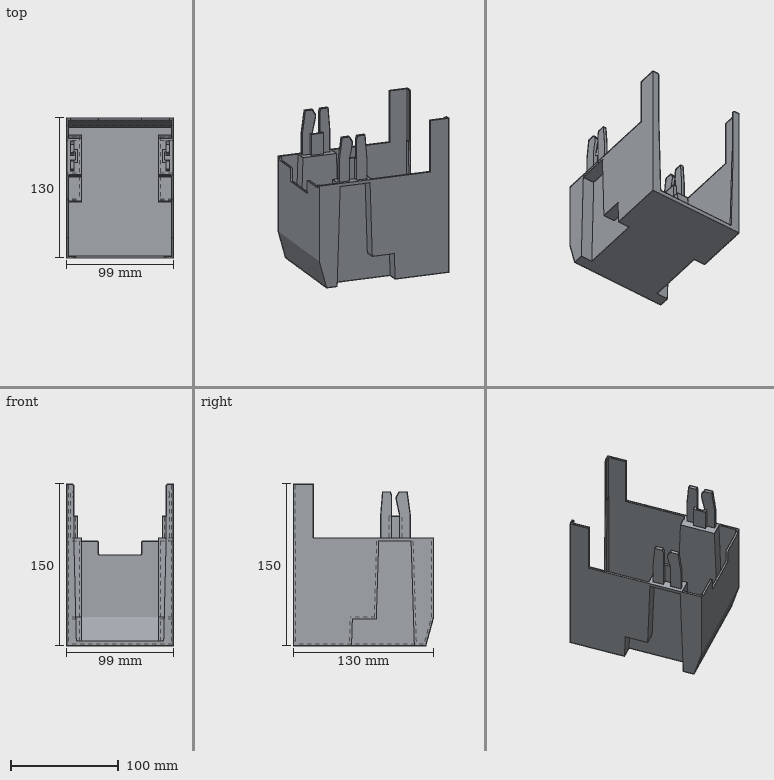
import cadquery as cq
import math

WIDTH = 99.0
DEPTH = 130.0
BODY_HEIGHT = 100.0
POST_HEIGHT = 150.0
POST_DEPTH = 18.5
WALL = 1.9
HALF_WIDTH = WIDTH / 2

BACK_SLOPE_RUN = 7.3
BACK_SLOPE_RISE = 26.5

SILL_HEIGHT = 4.7
SILL_HALF_WIDTH = 40.5
OPENING_HALF_WIDTH = 42.8
POST_TIP_RADIUS = 2.0
POST_FACE_THICKNESS = 1.4
SILL_CORNER_RADIUS = 1.0

BACK_TOP = 97.0
BACK_TOP_HALF_WIDTH = 45.8
BACK_END_RADIUS = 2.2
NOTCH_RADIUS = 1.0
NOTCH_HALF_WIDTH = 20.1
NOTCH_FLOOR = 84.3

POCKET_DEPTH = 12.0
POCKET_TOP = 97.0
POCKET_BACK_AT_TOP = 109.1
POCKET_FRONT_AT_TOP = 79.1
STEP_HEIGHT = 25.0
STEP_FRONT_AT_BASE = 53.9
DRAFT = math.tan(math.radians(1.8))
COLUMN_CORNER_RADIUS = 1.0

CLIP_OUTER_GAP = 3.6
CLIP_THICKNESS = 3.1
CLIP_TOP = 142.8
CLIP_TAPER_START = 121.5
HOOK_BACK = 108.4
HOOK_TIP_BACK = 105.5
HOOK_TIP_FRONT = 98.0
HOOK_NOSE = 95.3
HOOK_NOSE_BOTTOM = 135.5
HOOK_NOSE_TOP = 138.0
BLADE_FRONT = 80.9
BLADE_TIP_FRONT = 82.6
BLADE_TIP_BACK = 90.0
BLADE_BEVEL_START = 139.5
BRIDGE_TOP = 120.3
BRIDGE_REACH = 3.6
BRIDGE_WEB = 1.9
BRIDGE_LEG = 2.4
CLIP_GAP_FRONT = 91.0
CLIP_GAP_BACK = 98.3


def extrude_along_x(points, x_start, x_end):
    """Extrude a closed (Y, Z) outline between two X positions."""
    outline = cq.Workplane("YZ").workplane(offset=x_start).polyline(points).close()
    return outline.extrude(x_end - x_start)


def block(x_range, y_range, z_range):
    """Axis-aligned block between pairs of limits."""
    size = [end - start for start, end in (x_range, y_range, z_range)]
    return cq.Workplane("XY").box(*size, centered=False).translate((x_range[0], y_range[0], z_range[0]))


def both_sides(solid):
    """Join a left-hand feature with its mirror image."""
    return solid.union(solid.mirror("YZ"))


def make_shell():
    """Outer block, hollowed from above, with tall posts at the front."""
    outer = extrude_along_x(
        [
            (0, 0),
            (DEPTH - BACK_SLOPE_RUN, 0),
            (DEPTH, BACK_SLOPE_RISE),
            (DEPTH, BODY_HEIGHT),
            (POST_DEPTH, BODY_HEIGHT),
            (POST_DEPTH, POST_HEIGHT),
            (0, POST_HEIGHT),
        ],
        -HALF_WIDTH,
        HALF_WIDTH,
    )
    slope_length = math.hypot(BACK_SLOPE_RUN, BACK_SLOPE_RISE)
    slope_shift = WALL * slope_length / BACK_SLOPE_RISE
    run_per_rise = BACK_SLOPE_RUN / BACK_SLOPE_RISE
    inner_floor_back = DEPTH - BACK_SLOPE_RUN + WALL * run_per_rise - slope_shift
    inner_slope_top = BACK_SLOPE_RISE + (slope_shift - WALL) / run_per_rise
    cavity = extrude_along_x(
        [
            (WALL, WALL),
            (inner_floor_back, WALL),
            (DEPTH - WALL, inner_slope_top),
            (DEPTH - WALL, POST_HEIGHT),
            (WALL, POST_HEIGHT),
        ],
        -HALF_WIDTH + WALL,
        HALF_WIDTH - WALL,
    )
    return outer.cut(cavity)


def make_front_opening():
    """Tapered opening through the front wall, with rounded corners at its sill."""
    outline = [
        (-SILL_HALF_WIDTH, SILL_HEIGHT),
        (SILL_HALF_WIDTH, SILL_HEIGHT),
        (OPENING_HALF_WIDTH, BODY_HEIGHT),
        (OPENING_HALF_WIDTH, POST_HEIGHT),
        (-OPENING_HALF_WIDTH, POST_HEIGHT),
        (-OPENING_HALF_WIDTH, BODY_HEIGHT),
    ]
    opening = cq.Workplane("XZ").polyline(outline).close().extrude(-WALL)
    sill_corners = cq.selectors.BoxSelector(
        (-HALF_WIDTH, -WALL, 0), (HALF_WIDTH, 2 * WALL, SILL_HEIGHT + WALL)
    )
    return opening.edges("|Y").edges(sill_corners).fillet(SILL_CORNER_RADIUS)


def make_post_tip_rounding():
    """Cutter that rounds the inner top corner of the left post's front face."""
    corner = (-OPENING_HALF_WIDTH, POST_HEIGHT)
    tip_start = corner[0] - POST_TIP_RADIUS
    tip_end = corner[1] - POST_TIP_RADIUS
    diagonal = POST_TIP_RADIUS * math.sqrt(0.5)
    outline = cq.Workplane("XZ").moveTo(tip_start, corner[1]).lineTo(*corner).lineTo(corner[0], tip_end)
    outline = outline.threePointArc((tip_start + diagonal, tip_end + diagonal), (tip_start, corner[1]))
    return outline.close().extrude(-WALL)


def make_back_cutout():
    """Lowered top edge of the back wall with rounded ends and a rounded central notch."""
    outline = [
        (-BACK_TOP_HALF_WIDTH, BODY_HEIGHT),
        (-BACK_TOP_HALF_WIDTH, BACK_TOP),
        (-NOTCH_HALF_WIDTH, BACK_TOP),
        (-NOTCH_HALF_WIDTH, NOTCH_FLOOR),
        (NOTCH_HALF_WIDTH, NOTCH_FLOOR),
        (NOTCH_HALF_WIDTH, BACK_TOP),
        (BACK_TOP_HALF_WIDTH, BACK_TOP),
        (BACK_TOP_HALF_WIDTH, BODY_HEIGHT),
    ]
    cutout = cq.Workplane("XZ", origin=(0, DEPTH, 0)).polyline(outline).close().extrude(WALL)
    notch_region = cq.selectors.BoxSelector(
        (-NOTCH_HALF_WIDTH - WALL, 0, 0), (NOTCH_HALF_WIDTH + WALL, 2 * DEPTH, BODY_HEIGHT)
    )
    cutout = cutout.edges("|Y").edges(notch_region).fillet(NOTCH_RADIUS)
    lowered_ends = cq.selectors.BoxSelector(
        (-HALF_WIDTH, 0, NOTCH_FLOOR), (HALF_WIDTH, 2 * DEPTH, (BACK_TOP + BODY_HEIGHT) / 2)
    )
    return cutout.edges("|Y").edges("<X or >X").edges(lowered_ends).fillet(BACK_END_RADIUS)


def make_post_relief():
    """Cutter that thins the posts' front faces above the body."""
    inner_half_width = HALF_WIDTH - WALL
    return block(
        (-inner_half_width, inner_half_width), (POST_FACE_THICKNESS, WALL), (BODY_HEIGHT, POST_HEIGHT)
    )


def stepped_profile(offset, tower_top):
    """(Y, Z) outline of a side pocket, grown outwards by an offset."""
    step_top = STEP_HEIGHT + offset
    back_at_base = POCKET_BACK_AT_TOP + POCKET_TOP * DRAFT + offset
    front_at_base = POCKET_FRONT_AT_TOP - POCKET_TOP * DRAFT - offset
    step_at_base = STEP_FRONT_AT_BASE - offset
    return [
        (back_at_base, 0),
        (back_at_base - tower_top * DRAFT, tower_top),
        (front_at_base + tower_top * DRAFT, tower_top),
        (front_at_base + step_top * DRAFT, step_top),
        (step_at_base + step_top * DRAFT, step_top),
        (step_at_base, 0),
    ]


def make_column():
    """Column on the inside of the left wall that encloses its side pocket."""
    return extrude_along_x(
        stepped_profile(WALL, BODY_HEIGHT), -HALF_WIDTH, -HALF_WIDTH + POCKET_DEPTH + WALL
    )


def make_column_corner():
    """Small concave fillet where the top of the column's front face meets the left wall."""
    wall_face = -HALF_WIDTH + WALL
    front_at_top = POCKET_FRONT_AT_TOP - WALL + (BODY_HEIGHT - POCKET_TOP) * DRAFT
    radius = COLUMN_CORNER_RADIUS
    arc_offset = radius * (1 - math.sqrt(0.5))
    outline = cq.Workplane("XY", origin=(0, 0, POCKET_TOP)).moveTo(wall_face, front_at_top - radius)
    outline = outline.threePointArc(
        (wall_face + arc_offset, front_at_top - arc_offset), (wall_face + radius, front_at_top)
    )
    outline = outline.lineTo(wall_face + radius, front_at_top + radius)
    outline = outline.lineTo(wall_face - radius, front_at_top + radius)
    outline = outline.lineTo(wall_face - radius, front_at_top - radius)
    return outline.close().extrude(BODY_HEIGHT - POCKET_TOP)


def make_pocket():
    """Pocket sunk into the left side and open at the base."""
    return extrude_along_x(
        stepped_profile(0, POCKET_TOP), -HALF_WIDTH, -HALF_WIDTH + POCKET_DEPTH
    )


def make_clip():
    """Hooked back blade and straight front blade joined by a low U-shaped bridge."""
    blade_outside = -HALF_WIDTH + CLIP_OUTER_GAP
    blade_inside = blade_outside + CLIP_THICKNESS
    back_blade = extrude_along_x(
        [
            (CLIP_GAP_BACK, BODY_HEIGHT),
            (CLIP_GAP_BACK, CLIP_TAPER_START),
            (HOOK_NOSE, HOOK_NOSE_BOTTOM),
            (HOOK_NOSE, HOOK_NOSE_TOP),
            (HOOK_TIP_FRONT, CLIP_TOP),
            (HOOK_TIP_BACK, CLIP_TOP),
            (HOOK_BACK, CLIP_TAPER_START),
            (HOOK_BACK, BODY_HEIGHT),
        ],
        blade_outside,
        blade_inside,
    )
    front_blade = extrude_along_x(
        [
            (BLADE_FRONT, BODY_HEIGHT),
            (BLADE_FRONT, CLIP_TAPER_START),
            (BLADE_TIP_FRONT, CLIP_TOP),
            (BLADE_TIP_BACK, CLIP_TOP),
            (CLIP_GAP_FRONT, BLADE_BEVEL_START),
            (CLIP_GAP_FRONT, BODY_HEIGHT),
        ],
        blade_outside,
        blade_inside,
    )
    bridge_z = (BODY_HEIGHT, BRIDGE_TOP)
    bridge_inside = blade_inside + BRIDGE_REACH
    bridge = block(
        (blade_inside, bridge_inside),
        (CLIP_GAP_FRONT - BRIDGE_LEG, CLIP_GAP_BACK + BRIDGE_LEG),
        bridge_z,
    )
    bridge_hollow = block(
        (blade_inside, bridge_inside - BRIDGE_WEB),
        (CLIP_GAP_FRONT, CLIP_GAP_BACK),
        bridge_z,
    )
    return back_blade.union(front_blade).union(bridge.cut(bridge_hollow))


housing = make_shell().cut(make_front_opening()).cut(make_back_cutout())
housing = housing.cut(make_post_relief()).cut(both_sides(make_post_tip_rounding()))
housing = housing.union(both_sides(make_column().union(make_column_corner())))
housing = housing.cut(both_sides(make_pocket()))
result = housing.union(both_sides(make_clip()))